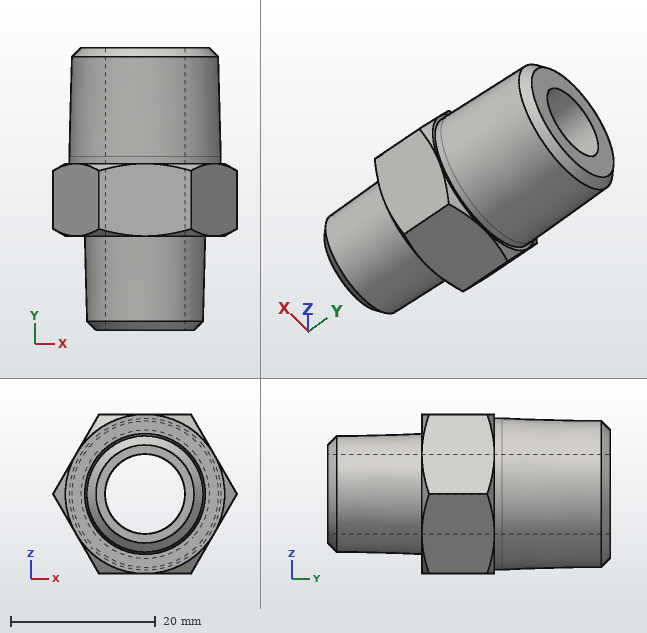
import cadquery as cq
import math

HEX_SIDES = 6
ACROSS_FLATS = 22.0
HEX_LENGTH = 10.0
HEX_CHAMFER_ANGLE = 30.0

TAPER_HALF_ANGLE = 1.5
TIP_CHAMFER = 1.25
LARGE_DIAMETER = 20.955
LARGE_LENGTH = 16.0
LARGE_COLLAR_LENGTH = 1.0
SMALL_DIAMETER = 16.662
SMALL_LENGTH = 13.0

BORE_DIAMETER = 11.0

SMALL_END = 0.0
HEX_START = SMALL_END + SMALL_LENGTH
HEX_END = HEX_START + HEX_LENGTH
LARGE_END = HEX_END + LARGE_LENGTH


def revolve_about_y(points):
    """Revolve a closed outline of (radius, y) points about the Y axis."""
    return cq.Workplane("XY").polyline(points).close().revolve(360, (0, 0, 0), (0, 1, 0))


def tapered_radius(root_diameter, distance):
    """Radius of a tapered body at a distance from its widest section."""
    return root_diameter / 2 - distance * math.tan(math.radians(TAPER_HALF_ANGLE))


def make_hex():
    """Hexagon with flats facing +Z and -Z and its corners turned off at both ends."""
    across_corners = ACROSS_FLATS / math.cos(math.pi / HEX_SIDES)
    flat_radius = ACROSS_FLATS / 2
    corner_radius = across_corners / 2
    chamfer = (corner_radius - flat_radius) * math.tan(math.radians(HEX_CHAMFER_ANGLE))
    prism = (
        cq.Workplane("XZ", origin=(0, HEX_END, 0))
        .polygon(HEX_SIDES, across_corners)
        .extrude(HEX_LENGTH)
    )
    turned_envelope = revolve_about_y([
        (0, HEX_START),
        (flat_radius, HEX_START),
        (corner_radius, HEX_START + chamfer),
        (corner_radius, HEX_END - chamfer),
        (flat_radius, HEX_END),
        (0, HEX_END),
    ])
    return prism.intersect(turned_envelope)


def make_large_end():
    """Short straight collar, then a taper with a chamfered tip."""
    collar_end = HEX_END + LARGE_COLLAR_LENGTH
    chamfer_start = LARGE_END - TIP_CHAMFER
    chamfer_radius = tapered_radius(LARGE_DIAMETER, chamfer_start - collar_end)
    return revolve_about_y([
        (0, HEX_END),
        (LARGE_DIAMETER / 2, HEX_END),
        (LARGE_DIAMETER / 2, collar_end),
        (chamfer_radius, chamfer_start),
        (chamfer_radius - TIP_CHAMFER, LARGE_END),
        (0, LARGE_END),
    ])


def make_small_end():
    """Taper straight from the hex face, with a chamfered tip."""
    chamfer_end = SMALL_END + TIP_CHAMFER
    chamfer_radius = tapered_radius(SMALL_DIAMETER, HEX_START - chamfer_end)
    return revolve_about_y([
        (0, SMALL_END),
        (chamfer_radius - TIP_CHAMFER, SMALL_END),
        (chamfer_radius, chamfer_end),
        (SMALL_DIAMETER / 2, HEX_START),
        (0, HEX_START),
    ])


def make_bore():
    """Straight bore through the full length."""
    return (
        cq.Workplane("XZ", origin=(0, LARGE_END, 0))
        .circle(BORE_DIAMETER / 2)
        .extrude(LARGE_END - SMALL_END)
    )


result = make_hex().union(make_large_end()).union(make_small_end()).cut(make_bore())